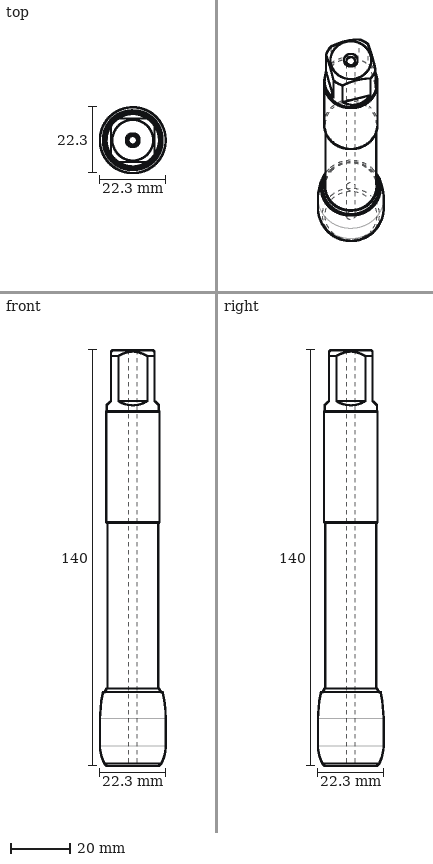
import cadquery as cq

TOTAL_LENGTH = 140.0
HEAD_HEIGHT = 26.2

BORE_DIAMETER = 3.0
COUNTERSINK_DIAMETER = 4.6

SHANK_DIAMETER = 17.2
DRIVE_DIAMETER = 17.6
COLLAR_DIAMETER = 18.0
COLLAR_BOTTOM = 81.8
COLLAR_TOP = 119.5
COLLAR_BEVEL_HEIGHT = 0.4

SQUARE_WIDTH = 14.7
FLAT_BOTTOM = 122.9
DRIVE_CHAMFER = 2.0

HEAD_DIAMETER = 22.3
HEAD_TOP_DIAMETER = 17.6
CONE_BASE_DIAMETER = 19.0
SHOULDER_DIAMETER = 20.2
SHOULDER_HEIGHT = 24.9
BAND_BOTTOM = 6.9
BAND_TOP = 16.1
NOSE_DIAMETER = 19.2
NOSE_HEIGHT = 0.8
BASE_DIAMETER = 17.5


def cut_bore(body):
    """Drill the axial bore through the full length of a body."""
    return body.cut(cq.Workplane("XY").circle(BORE_DIAMETER / 2).extrude(TOTAL_LENGTH))


def make_shank_blank():
    """Turned shank with a raised collar and a chamfered top end."""
    drive_radius = DRIVE_DIAMETER / 2
    radius = SHANK_DIAMETER / 2
    collar_radius = COLLAR_DIAMETER / 2
    profile = (
        cq.Workplane("XZ")
        .moveTo(0, HEAD_HEIGHT)
        .lineTo(radius, HEAD_HEIGHT)
        .lineTo(radius, COLLAR_BOTTOM)
        .lineTo(collar_radius, COLLAR_BOTTOM + COLLAR_BEVEL_HEIGHT)
        .lineTo(collar_radius, COLLAR_TOP - COLLAR_BEVEL_HEIGHT)
        .lineTo(drive_radius, COLLAR_TOP)
        .lineTo(drive_radius, TOTAL_LENGTH - DRIVE_CHAMFER)
        .lineTo(drive_radius - DRIVE_CHAMFER, TOTAL_LENGTH)
        .lineTo(0, TOTAL_LENGTH)
        .close()
    )
    return profile.revolve(360, (0, 0), (0, 1))


def make_flat_cutter():
    """Cutter for the +X drive flat, with a 45 degree run-out at its lower end."""
    flat = SQUARE_WIDTH / 2
    outside = COLLAR_DIAMETER
    profile = (
        cq.Workplane("XZ")
        .moveTo(flat, FLAT_BOTTOM)
        .lineTo(flat, TOTAL_LENGTH)
        .lineTo(outside, TOTAL_LENGTH)
        .lineTo(outside, FLAT_BOTTOM)
        .lineTo(DRIVE_DIAMETER / 2, FLAT_BOTTOM - (DRIVE_DIAMETER / 2 - flat))
        .close()
    )
    return profile.extrude(DRIVE_DIAMETER / 2, both=True)


def cut_countersink(body):
    """Cut the 45 degree cone at the mouth of the bore."""
    mouth = COUNTERSINK_DIAMETER / 2
    cone = cq.Solid.makeCone(0, mouth, mouth, pnt=cq.Vector(0, 0, TOTAL_LENGTH - mouth))
    return body.cut(cq.Workplane(cone))


def make_shank():
    """Shank with its square drive and countersunk bore."""
    shank = make_shank_blank()
    cutter = make_flat_cutter()
    for angle in range(0, 360, 90):
        shank = shank.cut(cutter.rotate((0, 0, 0), (0, 0, 1), angle))
    return cut_countersink(cut_bore(shank))


def flank_radius(end_diameter, height):
    """Radius of an arc tangent to the band that reaches a smaller diameter over a height."""
    step = (HEAD_DIAMETER - end_diameter) / 2
    return (height**2 + step**2) / (2 * step)


def make_head():
    """Barrel-shaped head with a conical top and curved flanks tangent to a cylindrical band."""
    band_radius = HEAD_DIAMETER / 2
    lower_arc = flank_radius(NOSE_DIAMETER, BAND_BOTTOM - NOSE_HEIGHT)
    upper_arc = flank_radius(SHOULDER_DIAMETER, SHOULDER_HEIGHT - BAND_TOP)
    profile = (
        cq.Workplane("XZ")
        .lineTo(BASE_DIAMETER / 2, 0)
        .lineTo(NOSE_DIAMETER / 2, NOSE_HEIGHT)
        .radiusArc((band_radius, BAND_BOTTOM), -lower_arc)
        .lineTo(band_radius, BAND_TOP)
        .radiusArc((SHOULDER_DIAMETER / 2, SHOULDER_HEIGHT), -upper_arc)
        .lineTo(CONE_BASE_DIAMETER / 2, SHOULDER_HEIGHT)
        .lineTo(HEAD_TOP_DIAMETER / 2, HEAD_HEIGHT)
        .lineTo(0, HEAD_HEIGHT)
        .close()
    )
    return cut_bore(profile.revolve(360, (0, 0), (0, 1)))


shank = make_shank()
head = make_head()

result = cq.Compound.makeCompound([shank.val(), head.val()])